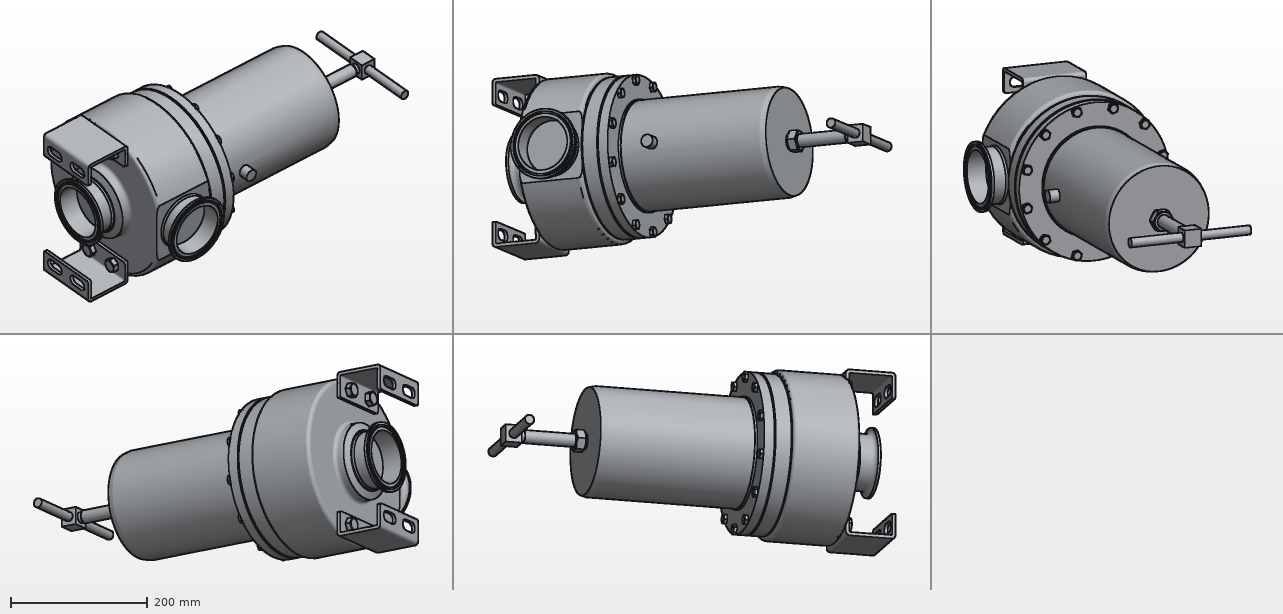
import cadquery as cq
import math


overall_width = 272.5
overall_height = 252.5
body_radius = overall_height / 2
body_length = 102.0
body_edge_radius = 6.0
outlet_flat_x = 116.0
flange_radius = 120.0
flange_end_y = 145.5
flange_split_y = 128.0
seam_width = 2.0
seam_depth = 1.0

hex_face_margin = 0.5
hex_chamfer_angle = 30

screw_count = 12
screw_circle_radius = 112.5
screw_head_flats = 13.5
screw_head_height = 5.0

cylinder_diameter = 164.5
cylinder_radius = cylinder_diameter / 2
cylinder_end_y = 384.0
cylinder_taper_length = 9.5
cylinder_taper_inset = 2.5
collar_radius = 84.0
collar_height = 3.5

stem_foot_radius = 12.0
nut_start_y = 387.0
nut_end_y = 401.5
nut_flats = 29.5
stem_radius = 10.0
stem_end_y = 479.0
stem_neck_radius = 8.0

block_start_y = 485.0
block_length = 24.5
block_width = 26.5
bar_radius = 7.0
bar_length = 191.0
bar_y = 497.5

port_radius = 9.5
port_end_x = 98.0
port_y = 198.5

tube_diameter = 85.0
tube_radius = tube_diameter / 2
bore_radius = 40.0
clamp_radius = 52.0
clamp_rim_thickness = 4.0
clamp_cove_length = 6.0
clamp_cove_inset = 3.0
clamp_cove_radius = 7.5
weld_foot_radius = 44.0
weld_length = 3.5
gasket_groove_radius = 47.0
gasket_groove_width = 3.0
gasket_groove_depth = 1.0
outlet_end_x = overall_width - body_radius
outlet_y = 52.0
inlet_end_y = -53.5

hub_radius = 57.5
hub_foot_radius = 6.0
hub_shoulder_y = -16.0
hub_end_y = -21.0
hub_end_radius = 45.5

bracket_width = 101.0
bracket_depth = 76.0
bracket_leg = 38.5
bracket_thickness = 5.0
bend_radius = 6.0
bend_inner_radius = 2.5
leg_corner_radius = 3.5
slot_length = 31.5
slot_height = 16.5
slot_spacing = 51.0
slot_offset_x = slot_spacing / 2
slot_z = 104.0
bracket_bolt_flats = 19.5
bracket_bolt_height = 9.0


def cylinder_y(radius, start_y, end_y):
    """Cylinder on the Y axis between two Y stations."""
    return cq.Workplane("XZ", origin=(0, start_y, 0)).circle(radius).extrude(start_y - end_y)


def hexagon_y(flats, start_y, end_y, chamfered_ends):
    """Hexagonal prism on the Y axis, two corners along X, its corners turned off at the named ends."""
    corners = flats / math.cos(math.pi / 6)
    prism = cq.Workplane("XZ", origin=(0, start_y, 0)).polygon(6, corners).extrude(start_y - end_y)
    radial = (corners - flats) / 2 + hex_face_margin
    axial = radial * math.tan(math.radians(hex_chamfer_angle))
    turned = cylinder_y(corners / 2, start_y, end_y).faces(chamfered_ends).chamfer(axial, radial)
    return prism.intersect(turned)


def make_body():
    """Round body with a flat for the outlet."""
    body = cylinder_y(body_radius, 0, body_length)
    flat_cut = cq.Workplane("XY").box(
        body_radius, 2 * body_length, 2 * body_radius, centered=(False, True, True)
    )
    body = body.edges("%CIRCLE").fillet(body_edge_radius)
    return body.cut(flat_cut.translate((outlet_flat_x, body_length / 2, 0)))


def make_flanges():
    """Bolted flange pair with seams below it and between its halves."""
    flanges = cylinder_y(flange_radius, body_length, flange_end_y)
    for seam_y in (body_length, flange_split_y):
        ring = cylinder_y(flange_radius, seam_y, seam_y + seam_width)
        core = cylinder_y(flange_radius - seam_depth, seam_y, seam_y + seam_width)
        flanges = flanges.cut(ring.cut(core))
    step = 360 / screw_count
    screw = hexagon_y(screw_head_flats, flange_end_y, flange_end_y + screw_head_height, ">Y")
    screw = screw.translate((screw_circle_radius, 0, 0))
    for index in range(screw_count):
        flanges = flanges.union(screw.rotate((0, 0, 0), (0, 1, 0), (index + 0.5) * step))
    return flanges


def make_cylinder():
    """Tall cylinder with its foot collar and its side port."""
    taper_y = cylinder_end_y - cylinder_taper_length
    profile = [
        (0, flange_end_y),
        (collar_radius, flange_end_y),
        (collar_radius, flange_end_y + collar_height),
        (cylinder_radius, flange_end_y + collar_height),
        (cylinder_radius, taper_y),
        (cylinder_radius - cylinder_taper_inset, cylinder_end_y),
        (0, cylinder_end_y),
    ]
    cylinder = cq.Workplane("XY").polyline(profile).close().revolve(360, (0, 0), (0, 1))
    port = cq.Workplane("YZ").center(port_y, 0).circle(port_radius).extrude(port_end_x)
    return cylinder.union(port)


def make_spindle():
    """Nut, stem and T-handle above the cylinder."""
    spindle = cylinder_y(stem_foot_radius, cylinder_end_y, nut_start_y)
    spindle = spindle.union(hexagon_y(nut_flats, nut_start_y, nut_end_y, "|Y"))
    spindle = spindle.union(cylinder_y(stem_radius, nut_end_y, stem_end_y))
    spindle = spindle.union(cylinder_y(stem_neck_radius, stem_end_y, block_start_y))
    block = cq.Workplane("XY").box(block_width, block_length, block_width)
    spindle = spindle.union(block.translate((0, block_start_y + block_length / 2, 0)))
    bar = cq.Workplane("YZ").center(bar_y, 0).circle(bar_radius).extrude(bar_length / 2, both=True)
    return spindle.union(bar)


def make_nozzle(length):
    """Solid clamp nozzle along -Y: its clamp face, with a gasket groove, is at Y = -length."""
    rim_y = clamp_rim_thickness - length
    groove_inner = gasket_groove_radius - gasket_groove_width / 2
    groove_outer = gasket_groove_radius + gasket_groove_width / 2
    groove_y = gasket_groove_depth - length
    return (
        cq.Workplane("XY")
        .moveTo(0, 0)
        .lineTo(weld_foot_radius, 0)
        .lineTo(tube_radius, -weld_length)
        .lineTo(tube_radius, rim_y + clamp_cove_length)
        .radiusArc((clamp_radius - clamp_cove_inset, rim_y), -clamp_cove_radius)
        .lineTo(clamp_radius, rim_y)
        .lineTo(clamp_radius, -length)
        .lineTo(groove_outer, -length)
        .lineTo(groove_outer, groove_y)
        .lineTo(groove_inner, groove_y)
        .lineTo(groove_inner, -length)
        .lineTo(0, -length)
        .close()
        .revolve(360, (0, 0), (0, 1))
    )


def make_hub():
    """Hub behind the inlet: concave foot, shoulder and cone."""
    return (
        cq.Workplane("XY")
        .moveTo(0, 0)
        .lineTo(hub_radius + hub_foot_radius, 0)
        .radiusArc((hub_radius, -hub_foot_radius), -hub_foot_radius)
        .lineTo(hub_radius, hub_shoulder_y)
        .lineTo(hub_end_radius, hub_end_y)
        .lineTo(0, hub_end_y)
        .close()
        .revolve(360, (0, 0), (0, 1))
    )


def make_bracket():
    """Upper C-shaped bracket with its slots and fixing bolts."""
    inner_depth = bracket_depth - 2 * bracket_thickness
    top_z = body_radius
    mid_y = -bracket_depth / 2
    outer = (
        cq.Workplane("XY")
        .box(bracket_width, bracket_depth, bracket_leg)
        .edges("|X and >Z")
        .fillet(bend_radius)
    )
    inner = (
        cq.Workplane("XY")
        .box(bracket_width, inner_depth, bracket_leg)
        .edges("|X and >Z")
        .fillet(bend_inner_radius)
        .translate((0, 0, -bracket_thickness))
    )
    bracket = outer.cut(inner).edges("|Y and <Z").fillet(leg_corner_radius)
    bracket = bracket.translate((0, mid_y, top_z - bracket_leg / 2))
    slots = (
        cq.Workplane("XZ", origin=(0, mid_y, slot_z))
        .pushPoints([(-slot_offset_x, 0), (slot_offset_x, 0)])
        .slot2D(slot_length, slot_height)
        .extrude(bracket_depth)
    )
    bracket = bracket.cut(slots)
    bolt_end_y = -bracket_thickness - bracket_bolt_height
    bolt = hexagon_y(bracket_bolt_flats, bolt_end_y, -bracket_thickness, "<Y")
    for bolt_x, turn in ((-slot_offset_x, 0), (slot_offset_x, 90)):
        turned_bolt = bolt.rotate((0, 0, 0), (0, 1, 0), turn)
        bracket = bracket.union(turned_bolt.translate((bolt_x, 0, slot_z)))
    return bracket


def place_outlet(shape):
    """Turn a shape modelled along -Y to the outlet, pointing along +X from the flat."""
    return shape.rotate((0, 0, 0), (0, 0, 1), 90).translate((outlet_flat_x, outlet_y, 0))


inlet_length = hub_end_y - inlet_end_y
outlet_length = outlet_end_x - outlet_flat_x
upper_bracket = make_bracket()

result = make_body()
for component in (
    make_flanges(),
    make_cylinder(),
    make_spindle(),
    make_hub(),
    make_nozzle(inlet_length).translate((0, hub_end_y, 0)),
    place_outlet(make_nozzle(outlet_length)),
    upper_bracket,
    upper_bracket.mirror("XY"),
):
    result = result.union(component)

result = result.cut(cylinder_y(bore_radius, inlet_end_y, hub_end_y))
result = result.cut(place_outlet(cylinder_y(bore_radius, -outlet_length, 0)))